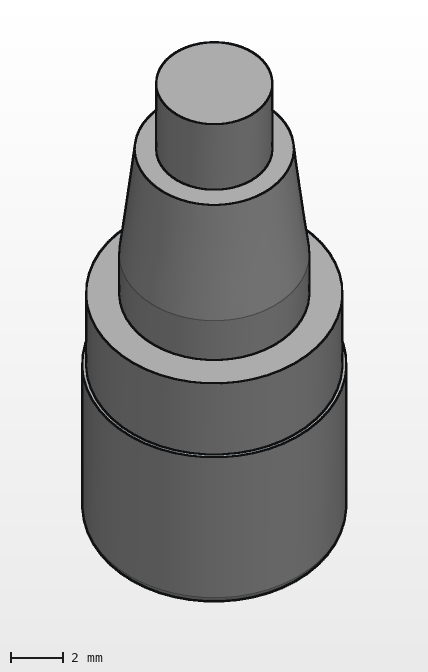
import cadquery as cq
import math

barrel_diameter = 10.0
barrel_top = 8.0
bottom_fillet = 0.5

shoulder_diameter = 9.7
shoulder_top = 11.8

neck_diameter = 7.2
neck_top = 13.9

taper_angle = 6.0
taper_top = 19.5
taper_height = taper_top - neck_top
taper_end_diameter = neck_diameter - 2 * taper_height * math.tan(math.radians(taper_angle))

pin_diameter = 4.4
overall_height = 23.0


def cylinder(diameter, bottom, top):
    """Upright cylinder on the Z axis between two heights."""
    return cq.Workplane("XY").workplane(offset=bottom).circle(diameter / 2).extrude(top - bottom)


def make_taper():
    """Cone frustum that narrows from the neck up to the pin."""
    return (
        cq.Workplane("XY")
        .workplane(offset=neck_top)
        .circle(neck_diameter / 2)
        .workplane(offset=taper_height)
        .circle(taper_end_diameter / 2)
        .loft()
    )


def make_body():
    barrel = cylinder(barrel_diameter, 0, barrel_top)
    barrel = barrel.faces("<Z").edges().fillet(bottom_fillet)
    shoulder = cylinder(shoulder_diameter, barrel_top, shoulder_top)
    neck = cylinder(neck_diameter, shoulder_top, neck_top)
    return barrel.union(shoulder).union(neck).union(make_taper())


def make_pin():
    return cylinder(pin_diameter, taper_top, overall_height)


body = make_body()
pin = make_pin()

result = cq.Compound.makeCompound([body.solids().val(), pin.val()])